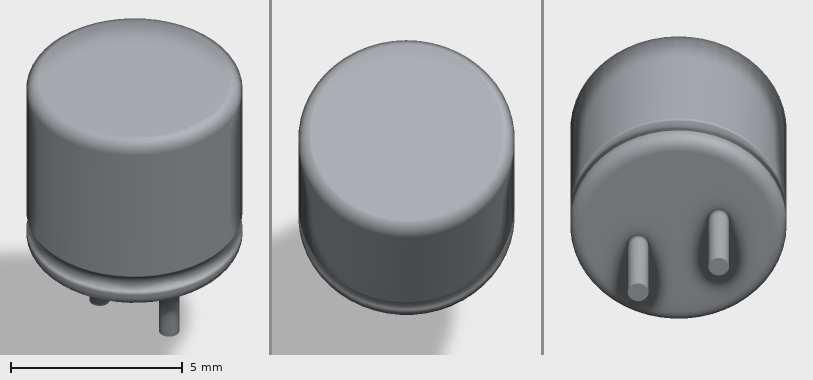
import cadquery as cq
import math

total_height = 8.66
body_height = 6.0
body_radius = 6.305 / 2

rim_radius = 0.4
lid_radius = 2.82

groove_height = 0.83
groove_depth = 0.25
groove_radius = 0.29
groove_edge_radius = 0.09

lead_diameter = 0.6
lead_spacing = 2.5
lead_length = total_height - body_height


def revolved_can():
    """Can standing on Z = 0, revolved from its half section."""
    rim_centre_r = body_radius - rim_radius
    lid_angle = math.acos((lid_radius - rim_centre_r) / rim_radius)
    rim_start = body_height - rim_radius * math.sin(lid_angle)
    rim_middle = (
        rim_centre_r + rim_radius * math.cos(lid_angle / 2),
        rim_start + rim_radius * math.sin(lid_angle / 2),
    )

    diagonal = rim_radius * math.sqrt(0.5)
    bottom_middle = (rim_centre_r + diagonal, rim_radius - diagonal)

    floor_r = body_radius - groove_depth
    groove_centre_r = floor_r + groove_radius
    edge_centre_r = body_radius - groove_edge_radius
    centre_distance = groove_radius + groove_edge_radius
    radial_gap = groove_centre_r - edge_centre_r
    edge_offset = math.sqrt(centre_distance**2 - radial_gap**2)
    join_r = groove_centre_r - groove_radius * radial_gap / centre_distance
    join_offset = groove_radius * edge_offset / centre_distance
    edge_half_angle = math.atan2(edge_offset, radial_gap) / 2
    edge_middle_r = edge_centre_r + groove_edge_radius * math.cos(edge_half_angle)
    edge_middle_offset = edge_offset - groove_edge_radius * math.sin(edge_half_angle)

    section = (
        cq.Workplane("XZ")
        .lineTo(rim_centre_r, 0)
        .threePointArc(bottom_middle, (body_radius, rim_radius))
        .lineTo(body_radius, groove_height - edge_offset)
        .threePointArc(
            (edge_middle_r, groove_height - edge_middle_offset),
            (join_r, groove_height - join_offset),
        )
        .threePointArc((floor_r, groove_height), (join_r, groove_height + join_offset))
        .threePointArc(
            (edge_middle_r, groove_height + edge_middle_offset),
            (body_radius, groove_height + edge_offset),
        )
        .lineTo(body_radius, rim_start)
        .threePointArc(rim_middle, (lid_radius, body_height))
        .lineTo(0, body_height)
        .close()
    )
    return section.revolve(360, (0, 0, 0), (0, 1, 0))


def leads():
    """Two round leads hanging below the can, side by side along X."""
    return (
        cq.Workplane("XY")
        .pushPoints([(-lead_spacing / 2, 0), (lead_spacing / 2, 0)])
        .circle(lead_diameter / 2)
        .extrude(-lead_length)
    )


result = revolved_can().union(leads())